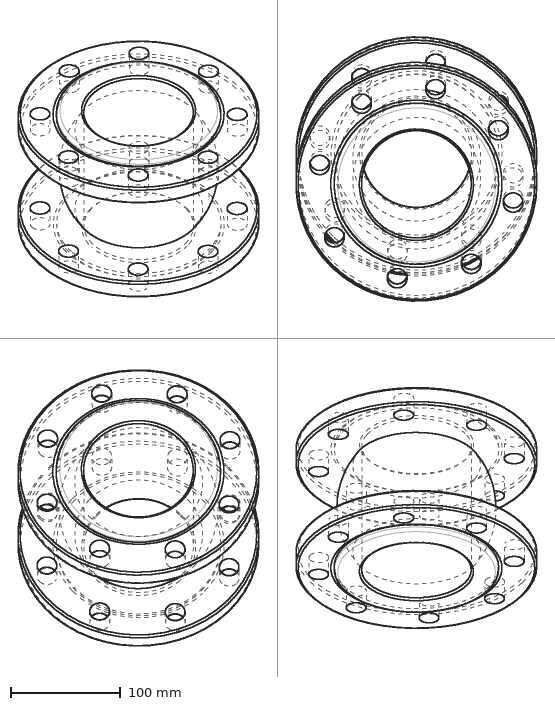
import cadquery as cq

total_height = 135.0
bore_diameter = 100.0
bore_chamfer = 2.0

flange_diameter = 220.0
flange_thickness = 18.0
flange_chamfer = 2.0
groove_width = 3.0
groove_depth = 1.5

collar_diameter = 150.0
collar_height = 4.0
collar_fillet = 3.0

bolt_count = 8
bolt_diameter = 18.0
bolt_circle_diameter = 180.0

belly_radius = 72.5
belly_arc_radius = 80.0

flange_top = total_height / 2 - collar_height
flange_bottom = flange_top - flange_thickness
bolt_start_angle = 180 / bolt_count


def make_flange():
    """Upper flange: chamfered rim, with a shallow sloped groove around the collar."""
    flange = (
        cq.Workplane("XY", origin=(0, 0, flange_bottom))
        .circle(flange_diameter / 2)
        .extrude(flange_thickness)
        .edges()
        .chamfer(flange_chamfer)
    )
    groove = (
        cq.Workplane("XZ")
        .moveTo(collar_diameter / 2, flange_top)
        .lineTo(collar_diameter / 2, flange_top - groove_depth)
        .lineTo(collar_diameter / 2 + groove_width, flange_top)
        .close()
        .revolve(360, (0, 0, 0), (0, 1, 0))
    )
    bolt_holes = (
        cq.Workplane("XY", origin=(0, 0, flange_bottom))
        .polarArray(bolt_circle_diameter / 2, bolt_start_angle, 360, bolt_count)
        .circle(bolt_diameter / 2)
        .extrude(flange_thickness)
    )
    return flange.cut(groove).cut(bolt_holes)


def make_collar():
    """Upper sealing collar: stands proud of the flange inside the groove."""
    return (
        cq.Workplane("XY", origin=(0, 0, flange_bottom))
        .circle(collar_diameter / 2)
        .extrude(flange_thickness + collar_height)
        .faces(">Z")
        .edges()
        .fillet(collar_fillet)
    )


def make_belly():
    """Barrel-shaped body whose side is one arc, widest at mid height."""
    arc_center = belly_radius - belly_arc_radius
    end_radius = arc_center + (belly_arc_radius**2 - flange_bottom**2) ** 0.5
    return (
        cq.Workplane("XZ")
        .moveTo(0, -flange_bottom)
        .lineTo(end_radius, -flange_bottom)
        .threePointArc((belly_radius, 0), (end_radius, flange_bottom))
        .lineTo(0, flange_bottom)
        .close()
        .revolve(360, (0, 0, 0), (0, 1, 0))
    )


upper_end = make_flange().union(make_collar())
lower_end = upper_end.mirror("XY")
body = make_belly().union(upper_end).union(lower_end)

bore = (
    cq.Workplane("XY", origin=(0, 0, -total_height / 2))
    .circle(bore_diameter / 2)
    .extrude(total_height)
)
body = body.cut(bore)
bore_mouths = body.faces("<Z or >Z").edges(cq.selectors.RadiusNthSelector(0))
result = bore_mouths.chamfer(bore_chamfer)